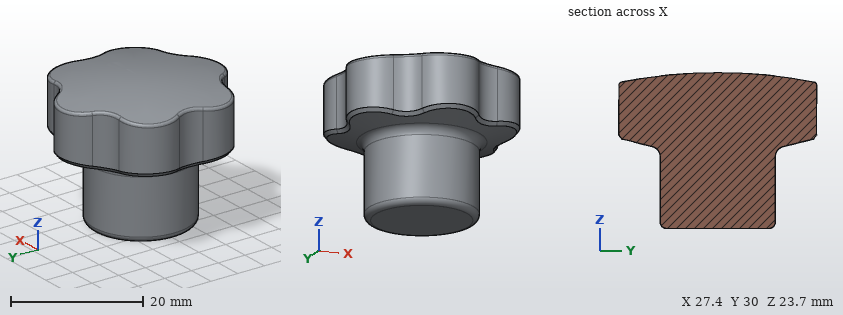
import math

import cadquery as cq

HEIGHT = 23.65
STEM_RADIUS = 17.5 / 2
STEM_EDGE_FILLET = 1.0

LOBE_COUNT = 6
TIP_RADIUS = 15.0
LOBE_RADIUS = 5.3
LOBE_CENTER_RADIUS = TIP_RADIUS - LOBE_RADIUS
FIRST_LOBE_ANGLE = 90.0
PITCH_ANGLE = 360.0 / LOBE_COUNT
VALLEY_RADIUS = LOBE_CENTER_RADIUS - LOBE_RADIUS
VALLEY_CENTER_RADIUS = 2 * LOBE_CENTER_RADIUS * math.cos(math.radians(PITCH_ANGLE / 2))
VALLEY_BOTTOM_RADIUS = VALLEY_CENTER_RADIUS - VALLEY_RADIUS

DOME_RADIUS = 75.0
UNDERSIDE_ANGLE = 14.0
NECK_FILLET = 1.5
NECK_BOTTOM_Z = 10.92
TOP_EDGE_FILLET = 0.5
UNDERSIDE_EDGE_CHAMFER = 0.5

BLANK_MARGIN = 1.0
BLANK_RADIUS = TIP_RADIUS + BLANK_MARGIN


def polar(radius, angle):
    """Point at a radius and an angle in degrees."""
    a = math.radians(angle)
    return (radius * math.cos(a), radius * math.sin(a))


def lobe_end(lobe_angle, side):
    """Tangent point of a lobe with the valley on its side (-1 or +1)."""
    cx, cy = polar(LOBE_CENTER_RADIUS, lobe_angle)
    dx, dy = polar(LOBE_RADIUS, lobe_angle + side * PITCH_ANGLE)
    return (cx + dx, cy + dy)


def grip_prism():
    """Prism with the lobed outline over the full height."""
    outline = cq.Workplane("XY").moveTo(*lobe_end(FIRST_LOBE_ANGLE, -1))
    for i in range(LOBE_COUNT):
        angle = FIRST_LOBE_ANGLE + i * PITCH_ANGLE
        next_angle = angle + PITCH_ANGLE
        valley_bottom = polar(VALLEY_BOTTOM_RADIUS, angle + PITCH_ANGLE / 2)
        outline = outline.threePointArc(polar(TIP_RADIUS, angle), lobe_end(angle, 1))
        outline = outline.threePointArc(valley_bottom, lobe_end(next_angle, -1))
    return outline.close().extrude(HEIGHT)


def dome_z(radius):
    """Height of the domed top at a distance from the axis."""
    return HEIGHT - DOME_RADIUS + math.sqrt(DOME_RADIUS**2 - radius**2)


def turned_blank():
    """Revolved stem, neck fillet, conical underside and domed top."""
    slope = math.radians(UNDERSIDE_ANGLE)
    neck_center_r = STEM_RADIUS + NECK_FILLET
    neck_start_angle = 180.0
    neck_end_angle = 90.0 + UNDERSIDE_ANGLE
    neck_mid_angle = (neck_start_angle + neck_end_angle) / 2

    def neck_point(angle):
        """Profile point on the neck fillet arc."""
        r, z = polar(NECK_FILLET, angle)
        return (neck_center_r + r, NECK_BOTTOM_Z + z)

    neck_end = neck_point(neck_end_angle)
    blank_bottom_z = neck_end[1] + (BLANK_RADIUS - neck_end[0]) * math.tan(slope)
    stem_center_r = STEM_RADIUS - STEM_EDGE_FILLET
    stem_dr, stem_dz = polar(STEM_EDGE_FILLET, -45.0)

    profile = (
        cq.Workplane("XZ")
        .lineTo(stem_center_r, 0)
        .threePointArc(
            (stem_center_r + stem_dr, STEM_EDGE_FILLET + stem_dz),
            (STEM_RADIUS, STEM_EDGE_FILLET),
        )
        .lineTo(STEM_RADIUS, NECK_BOTTOM_Z)
        .threePointArc(neck_point(neck_mid_angle), neck_end)
        .lineTo(BLANK_RADIUS, blank_bottom_z)
        .lineTo(BLANK_RADIUS, dome_z(BLANK_RADIUS))
        .threePointArc((BLANK_RADIUS / 2, dome_z(BLANK_RADIUS / 2)), (0, HEIGHT))
        .close()
    )
    return profile.revolve(360, (0, 0), (0, 1))


def finish_grip_edges(knob):
    """Round the rim under the dome and chamfer the rim above the underside."""
    rim_radius = (STEM_RADIUS + VALLEY_BOTTOM_RADIUS) / 2
    head_mid_z = (NECK_BOTTOM_Z + HEIGHT) / 2
    top_rim = []
    bottom_rim = []
    for edge in knob.edges("not |Z").vals():
        center = edge.Center()
        if math.hypot(center.x, center.y) < rim_radius:
            continue
        if center.z > head_mid_z:
            top_rim.append(edge)
        else:
            bottom_rim.append(edge)
    solid = knob.val()
    solid = solid.fillet(TOP_EDGE_FILLET, top_rim)
    solid = solid.chamfer(UNDERSIDE_EDGE_CHAMFER, None, bottom_rim)
    return cq.Workplane(obj=solid)


result = finish_grip_edges(turned_blank().intersect(grip_prism()))